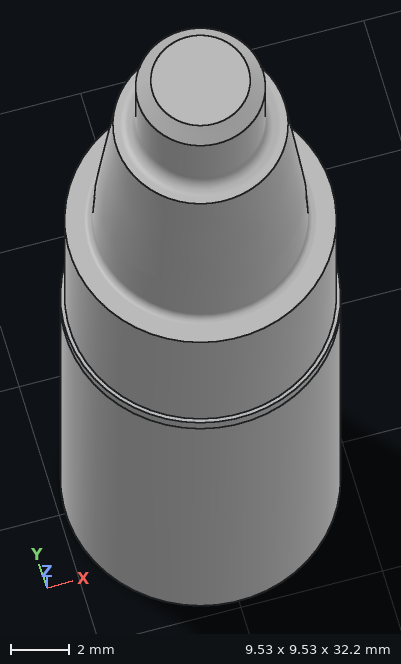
import cadquery as cq
import math

total_height = 32.2
barrel_diameter = 9.53

barrel_height = 14.33
flange_thickness = 0.48
collar_top = 21.0
taper_bottom = 23.15
shoulder_height = 28.65

collar_diameter = 9.25
tip_diameter = 4.4
shoulder_diameter = 5.95
taper_angle = math.radians(6.0)
tip_chamfer = 0.5
tip_fillet = 0.5
root_fillet = 0.3

barrel_radius = barrel_diameter / 2
collar_radius = collar_diameter / 2
tip_radius = tip_diameter / 2
shoulder_radius = shoulder_diameter / 2
flange_top = barrel_height + flange_thickness
taper_bottom_radius = shoulder_radius + (shoulder_height - taper_bottom) * math.tan(taper_angle)

waist_bottom = collar_top + root_fillet
waist_arc_radius = (taper_bottom - waist_bottom) / math.sin(taper_angle)
waist_radius = taper_bottom_radius + waist_arc_radius * (1 - math.cos(taper_angle))
waist_mid_angle = taper_angle / 2
waist_mid = (
    waist_radius - waist_arc_radius * (1 - math.cos(waist_mid_angle)),
    waist_bottom + waist_arc_radius * math.sin(waist_mid_angle),
)


def concave_fillet(profile, wall_radius, floor_height, fillet_radius):
    """Line to the foot of a concave fillet, then its quarter arc up to the wall."""
    offset = fillet_radius * (1 - math.sqrt(0.5))
    return (
        profile.lineTo(wall_radius + fillet_radius, floor_height)
        .threePointArc(
            (wall_radius + offset, floor_height + offset),
            (wall_radius, floor_height + fillet_radius),
        )
    )


def make_barrel():
    """Plain cylinder standing on the XY plane."""
    return cq.Workplane("XY").circle(barrel_radius).extrude(barrel_height)


def make_plunger():
    """Turned upper body: flange, collar, tapered neck and chamfered tip."""
    profile = (
        cq.Workplane("XZ")
        .moveTo(0, barrel_height)
        .lineTo(barrel_radius, barrel_height)
        .lineTo(barrel_radius, flange_top)
        .lineTo(collar_radius, flange_top)
        .lineTo(collar_radius, collar_top)
    )
    profile = (
        concave_fillet(profile, waist_radius, collar_top, root_fillet)
        .threePointArc(waist_mid, (taper_bottom_radius, taper_bottom))
        .lineTo(shoulder_radius, shoulder_height)
    )
    profile = (
        concave_fillet(profile, tip_radius, shoulder_height, tip_fillet)
        .lineTo(tip_radius, total_height - tip_chamfer)
        .lineTo(tip_radius - tip_chamfer, total_height)
        .lineTo(0, total_height)
        .close()
    )
    return profile.revolve(360, (0, 0, 0), (0, 1, 0))


barrel = make_barrel()
plunger = make_plunger()

result = cq.Compound.makeCompound([barrel.val(), plunger.val()])